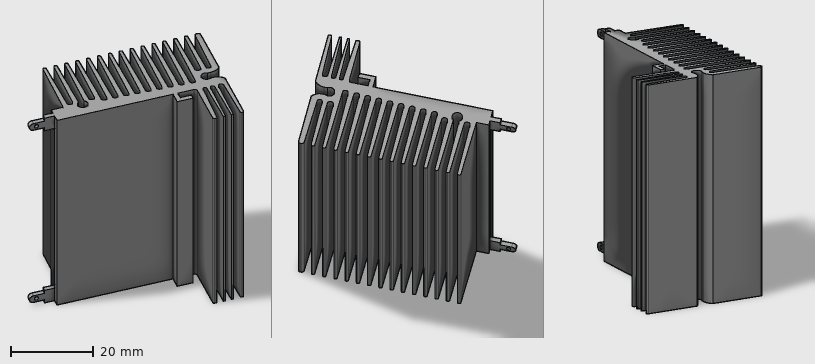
import cadquery as cq
import math


length = 58.0
width = 32.0
plate_end = 43.85
plate_right = 19.9
foot_left = 15.65

left_fin_count = 14
first_fin_y = 3.75
last_fin_y = 40.2
fin_pitch = (last_fin_y - first_fin_y) / (left_fin_count - 1)
fin_tip = 0.85
fin_root = 1.4
fin_taper_length = 16.8
end_fin_tip = 1.4
end_fin_root = 1.75
fin_tip_radius = 0.43
end_fin_tip_radius = 0.65

foot_slot_depth = 15.25
shallow_slot_depth = 16.4
deepest_slot_depth = 17.4
notch_side_depth = 13.4
middle_slots = range(3, 12)

channel_slot = 1
channel_diameter = 2.55
channel_x = deepest_slot_depth - channel_diameter / 2

notch_x = 16.05
notch_width = 2.05
notch_bulb_diameter = 2.5
notch_bulb_depth = 4.05
notch_mouth_radius = 3.2
notch_mouth_depth = 2.5

right_block_height = 7.95
right_root_x = 20.05
right_corner_radius = 0.7
right_end_tip = 0.85
right_end_root = 1.2
right_thin_tip = 0.5
right_thin_root = 0.9
right_lower_tip = 1.05
right_lower_root = 1.5
right_thin_depths = (3.0, 5.05)
right_tip_radius = 0.35

hook_right = 22.9
hook_thickness = 1.2
hook_low = plate_end - 14.0
hook_high = plate_end - 9.85

tab_left = 16.9
tab_thickness = 1.2
groove_depth = 2.55
tab_body_height = 3.95
tab_body_reach = 2.55
tab_reach = 6.45
tongue_width = 2.1
tab_hole_reach = 4.65
tab_hole_diameter = 1.0


def box(x0, x1, y0, y1, z0=0.0, z1=length):
    """Block between two opposite corners."""
    return cq.Workplane("XY").box(x1 - x0, y1 - y0, z1 - z0, centered=False).translate((x0, y0, z0))


def cylinder(x, y, diameter):
    """Full-length round bar parallel to Z."""
    return cq.Workplane("XY").center(x, y).circle(diameter / 2).extrude(length)


def tapered_slot(tip_x, root_x, tip_low, tip_high, root_low, root_high):
    """Space between two fins, open at tip_x and with a round end that reaches root_x."""
    end_radius = (root_high - root_low) / 2
    arc_x = root_x + math.copysign(end_radius, tip_x - root_x)
    return (
        cq.Workplane("XY")
        .moveTo(tip_x, tip_low)
        .lineTo(arc_x, root_low)
        .threePointArc((root_x, root_low + end_radius), (arc_x, root_high))
        .lineTo(tip_x, tip_high)
        .close()
        .extrude(length)
    )


def left_slot_depth(index):
    """Depth of left slot number index, counted from the foot upwards."""
    if index in middle_slots:
        step = (deepest_slot_depth - shallow_slot_depth) / (len(middle_slots) - 1)
        return shallow_slot_depth + step * (index - middle_slots.start)
    if index == channel_slot:
        return channel_x
    if index > middle_slots[-1]:
        return notch_side_depth
    return foot_slot_depth


def half_fin(x):
    """Half the thickness of a left fin at distance x from its tip."""
    return (fin_tip + (fin_root - fin_tip) * x / fin_taper_length) / 2


def left_slots():
    """All the slots between the left fins, and the screw channel."""
    slots = cylinder(channel_x, first_fin_y + (channel_slot + 0.5) * fin_pitch, channel_diameter)
    for index in range(left_fin_count):
        depth = left_slot_depth(index)
        lower_y = first_fin_y + index * fin_pitch
        upper_y = lower_y + fin_pitch
        tip_high = upper_y - half_fin(0)
        root_high = upper_y - half_fin(depth)
        if index == left_fin_count - 1:
            tip_high = plate_end - end_fin_tip
            root_high = plate_end - end_fin_root
        slots = slots.union(tapered_slot(
            0, depth, lower_y + half_fin(0), tip_high, lower_y + half_fin(depth), root_high))
    return slots


def foot_step():
    """Space under the lowest left fin, beside the foot of the plate."""
    outline = [
        (0, 0),
        (foot_left, 0),
        (foot_left, first_fin_y - half_fin(foot_left)),
        (0, first_fin_y - half_fin(0)),
    ]
    return cq.Workplane("XY").polyline(outline).close().extrude(length)


def keyhole_notch():
    """Round-bottomed notch in the top edge of the plate."""
    half = notch_width / 2
    mouth_y = plate_end - notch_mouth_depth
    bulb_y = plate_end - notch_bulb_depth
    flare = notch_mouth_radius - math.sqrt(notch_mouth_radius**2 - notch_mouth_depth**2)
    neck = (
        cq.Workplane("XY")
        .moveTo(notch_x - half, bulb_y)
        .lineTo(notch_x + half, bulb_y)
        .lineTo(notch_x + half, mouth_y)
        .radiusArc((notch_x + half + flare, plate_end), notch_mouth_radius)
        .lineTo(notch_x - half - flare, plate_end)
        .radiusArc((notch_x - half, mouth_y), notch_mouth_radius)
        .close()
        .extrude(length)
    )
    return neck.union(cylinder(notch_x, bulb_y, notch_bulb_diameter))


def right_slots():
    """The three slots between the right fins."""
    upper_faces = [(right_end_tip, right_end_root)]
    lower_faces = []
    for depth in right_thin_depths:
        lower_faces.append((depth - right_thin_tip / 2, depth - right_thin_root / 2))
        upper_faces.append((depth + right_thin_tip / 2, depth + right_thin_root / 2))
    lower_faces.append((right_block_height - right_lower_tip, right_block_height - right_lower_root))

    slots = cq.Workplane("XY")
    for (tip_top, root_top), (tip_bottom, root_bottom) in zip(upper_faces, lower_faces):
        slots = slots.add(tapered_slot(
            width, right_root_x, plate_end - tip_bottom, plate_end - tip_top,
            plate_end - root_bottom, plate_end - root_top))
    return slots.combine()


def round_edges(body, x, y_low, y_high, radius):
    """Round the edges along Z that lie at x between y_low and y_high."""
    margin = 0.03
    region = cq.selectors.BoxSelector(
        (x - margin, y_low - margin, -margin), (x + margin, y_high + margin, length + margin))
    return body.edges("|Z").edges(region).fillet(radius)


def profile():
    """Extruded body with its fins, notch and hook."""
    right_low = plate_end - right_block_height
    body = box(0, plate_right, 0, plate_end).union(box(plate_right, width, right_low, plate_end))
    body = round_edges(body, plate_right, right_low, right_low, right_corner_radius)
    body = body.cut(left_slots()).cut(foot_step()).cut(right_slots()).cut(keyhole_notch())

    body = round_edges(body, 0, 0, last_fin_y + fin_tip, fin_tip_radius)
    body = round_edges(body, 0, plate_end - end_fin_tip, plate_end, end_fin_tip_radius)
    body = round_edges(body, width, right_low, right_low + right_lower_tip, right_tip_radius)
    body = round_edges(body, width, plate_end - right_end_tip, plate_end, right_tip_radius)

    arm = box(plate_right, hook_right, hook_low, hook_low + hook_thickness)
    upright = box(hook_right - hook_thickness, hook_right, hook_low, hook_high)
    return body.union(arm).union(upright)


def solder_tab(base_z):
    """Stepped tab with a round-ended, pierced tongue; base_z is its lowest level."""
    middle_z = base_z + tab_body_height / 2
    half = tongue_width / 2
    plane = cq.Workplane("YZ", origin=(tab_left, 0, middle_z))
    blade = box(
        tab_left, tab_left + tab_thickness, -tab_body_reach, groove_depth, base_z, base_z + tab_body_height)
    tongue = (
        plane.moveTo(-tab_body_reach, half)
        .lineTo(-tab_reach + half, half)
        .threePointArc((-tab_reach, 0), (-tab_reach + half, -half))
        .lineTo(-tab_body_reach, -half)
        .close()
        .extrude(tab_thickness)
    )
    hole = plane.center(-tab_hole_reach, 0).circle(tab_hole_diameter / 2).extrude(tab_thickness)
    return blade.union(tongue).cut(hole)


result = profile().cut(box(tab_left, tab_left + tab_thickness, 0, groove_depth))
for tab_base in (0, length - tab_body_height):
    result = result.union(solder_tab(tab_base))